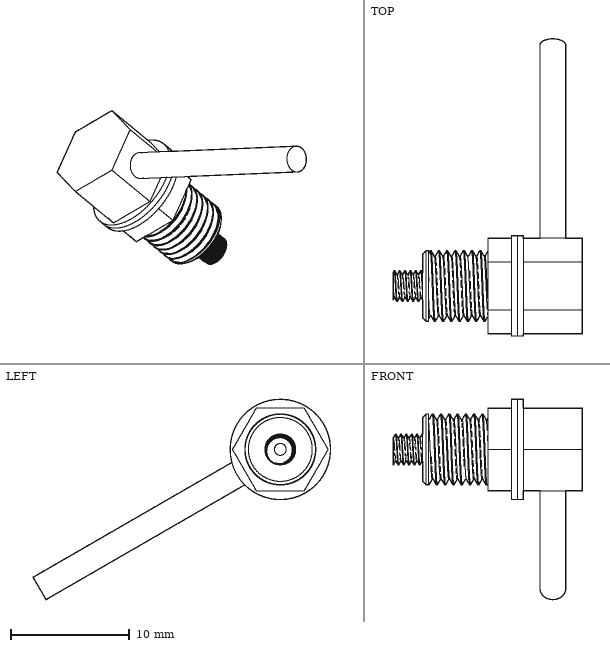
import cadquery as cq
import math


STUD_LENGTH = 2.5
STUD_DIAMETER = 2.6
STUD_PITCH = 0.45
PIN_DIAMETER = 1.0

THREAD_DIAMETER = 6.0
THREAD_PITCH = 0.7
COLLAR_LENGTH = 0.5
COLLAR_CHAMFER = 0.3
THREAD_LENGTH = 5.0

FLANK_ANGLE = math.radians(30)
FLAT_RATIO = 1 / 8
FLANK_STEPS = 8

HEX_ACROSS_FLATS = 7.0
HEX_ACROSS_CORNERS = HEX_ACROSS_FLATS / math.cos(math.pi / 6)
NUT_LENGTH = 2.0
WASHER_DIAMETER = 8.5
WASHER_THICKNESS = 0.5
WASHER_COUNT = 2
HEAD_LENGTH = 5.0

CABLE_DIAMETER = 2.2
CABLE_LENGTH = 20.0
CABLE_FROM_HEAD_FRONT = 2.5
CABLE_DROP_ANGLE = 30.0

COLLAR_START = STUD_LENGTH
THREAD_START = COLLAR_START + COLLAR_LENGTH
NUT_START = THREAD_START + THREAD_LENGTH
WASHER_START = NUT_START + NUT_LENGTH
HEAD_START = WASHER_START + WASHER_COUNT * WASHER_THICKNESS
CABLE_X = HEAD_START + CABLE_FROM_HEAD_FRONT


def section(x):
    """Workplane across the main axis at x: local x is +Y, local y is +Z, normal is +X."""
    return cq.Workplane("YZ", origin=(x, 0, 0))


def cylinder(x, diameter, length):
    return section(x).circle(diameter / 2).extrude(length)


def hexagon(x, length):
    """Hexagonal prism with two flats facing up and down."""
    return section(x).polygon(6, HEX_ACROSS_CORNERS).extrude(length)


def threaded_bar(x, diameter, pitch, length):
    """Bar with a right-hand thread, made by twisting its cross-section along X.

    The cross-section is a root arc and a crest arc joined by two spiral flanks.
    The groove is centred on the +Z side at the start of the bar.
    """
    crest_radius = diameter / 2
    flank_width = pitch * (1 - 2 * FLAT_RATIO) / 2
    root_radius = crest_radius - flank_width / math.tan(FLANK_ANGLE)
    root_turn = math.pi * FLAT_RATIO
    flank_turn = 2 * math.pi * flank_width / pitch

    def polar(radius, turn):
        """Point at an angle from +Z, turning towards -Y."""
        return (-radius * math.sin(turn), radius * math.cos(turn))

    def flank(side):
        """Spiral from root to crest; side is +1 or -1."""
        points = []
        for step in range(FLANK_STEPS + 1):
            part = step / FLANK_STEPS
            radius = root_radius + part * (crest_radius - root_radius)
            points.append(polar(radius, side * (root_turn + part * flank_turn)))
        return points

    rising = flank(1)
    falling = flank(-1)[::-1]
    profile = (
        section(x)
        .moveTo(*rising[0])
        .spline(rising[1:], includeCurrent=True)
        .threePointArc(polar(crest_radius, math.pi), falling[0])
        .spline(falling[1:], includeCurrent=True)
        .threePointArc(polar(root_radius, 0), rising[0])
        .close()
    )
    return profile.twistExtrude(length, 360 * length / pitch)


def make_pin():
    return cylinder(0, PIN_DIAMETER, STUD_LENGTH)


def make_stud():
    bar = threaded_bar(0, STUD_DIAMETER, STUD_PITCH, STUD_LENGTH)
    return bar.cut(make_pin())


def make_housing():
    """Collar, large thread, plain neck through the nut and washers, and hexagonal head."""
    collar = cylinder(COLLAR_START, THREAD_DIAMETER, COLLAR_LENGTH).faces("<X").chamfer(COLLAR_CHAMFER)
    thread = threaded_bar(THREAD_START, THREAD_DIAMETER, THREAD_PITCH, THREAD_LENGTH)
    neck = cylinder(NUT_START, THREAD_DIAMETER, HEAD_START - NUT_START)
    head = hexagon(HEAD_START, HEAD_LENGTH)
    return head.union(neck).union(thread).union(collar)


def make_nut():
    return hexagon(NUT_START, NUT_LENGTH).cut(cylinder(NUT_START, THREAD_DIAMETER, NUT_LENGTH))


def make_washer(x):
    return section(x).circle(WASHER_DIAMETER / 2).circle(THREAD_DIAMETER / 2).extrude(WASHER_THICKNESS)


def make_cable():
    cable = (
        cq.Workplane("XZ", origin=(CABLE_X, HEX_ACROSS_FLATS / 2, 0))
        .circle(CABLE_DIAMETER / 2)
        .extrude(-CABLE_LENGTH)
    )
    return cable.rotate((0, 0, 0), (1, 0, 0), -CABLE_DROP_ANGLE)


pin = make_pin()
stud = make_stud()
housing = make_housing()
nut = make_nut()
washers = [make_washer(WASHER_START + i * WASHER_THICKNESS) for i in range(WASHER_COUNT)]
cable = make_cable()

bodies = [pin, stud, housing, nut, *washers, cable]

result = cq.Compound.makeCompound([body.solids().val() for body in bodies])